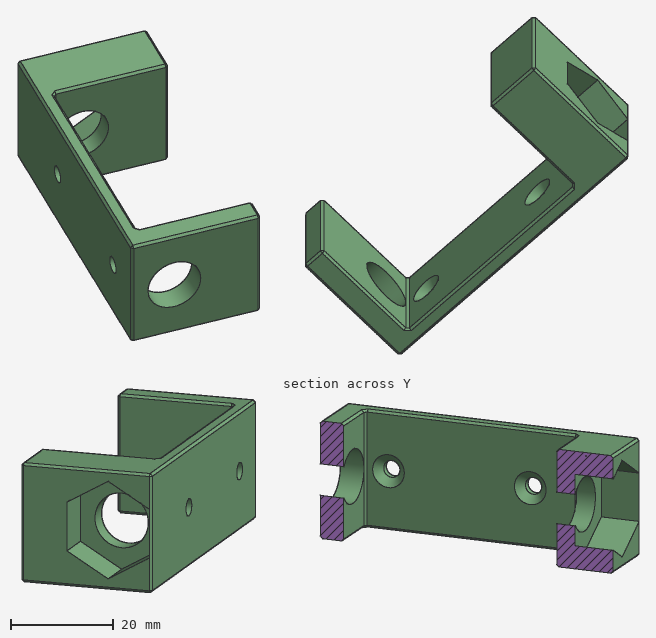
import cadquery as cq
import math

length = 62.0
depth = 27.0
height = 24.0

nut_block_width = 12.0
end_arm_width = 5.0
back_plate_thickness = 3.0

edge_chamfer = 0.5

bolt_diameter = 11.0
bolt_y = 9.0
hexagon_sides = 6
nut_across_flats = 17.0
nut_pocket_depth = 8.0

mount_hole_count = 2
mount_hole_diameter = 3.4
mount_hole_spacing = 30.0
first_mount_hole_x = 22.0
countersink_diameter = 6.7
countersink_angle = 90.0

mid_height = height / 2


def make_body():
    """U-shaped block, open toward +Y, with every edge chamfered."""
    inner_right_x = length - end_arm_width
    outline = [
        (0, 0),
        (length, 0),
        (length, depth),
        (inner_right_x, depth),
        (inner_right_x, back_plate_thickness),
        (nut_block_width, back_plate_thickness),
        (nut_block_width, depth),
        (0, depth),
    ]
    body = cq.Workplane("XY").polyline(outline).close().extrude(height)
    return body.edges().chamfer(edge_chamfer)


def make_bolt_passage():
    """Cylinder that runs along X through the nut block and the end arm."""
    return (
        cq.Workplane("YZ")
        .center(bolt_y, mid_height)
        .circle(bolt_diameter / 2)
        .extrude(length)
    )


def make_nut_pocket():
    """Hexagonal prism with one corner up, sunk from the X = 0 face."""
    corner_radius = nut_across_flats / 2 / math.cos(math.pi / hexagon_sides)
    corners = []
    for index in range(hexagon_sides):
        angle = math.radians(90 + index * 360 / hexagon_sides)
        corners.append((corner_radius * math.cos(angle), corner_radius * math.sin(angle)))
    return (
        cq.Workplane("YZ")
        .center(bolt_y, mid_height)
        .polyline(corners)
        .close()
        .extrude(nut_pocket_depth)
    )


def make_mount_hole(x):
    """Hole along Y through the back plate, countersunk from inside the U."""
    hole_radius = mount_hole_diameter / 2
    head_radius = countersink_diameter / 2
    countersink_depth = (head_radius - hole_radius) / math.tan(math.radians(countersink_angle / 2))
    countersink_start_y = back_plate_thickness - countersink_depth
    half_section = [
        (x, 0),
        (x + hole_radius, 0),
        (x + hole_radius, countersink_start_y),
        (x + head_radius, back_plate_thickness),
        (x, back_plate_thickness),
    ]
    return (
        cq.Workplane("XY")
        .workplane(offset=mid_height)
        .polyline(half_section)
        .close()
        .revolve(360, (x, 0), (x, 1))
    )


result = make_body().cut(make_bolt_passage()).cut(make_nut_pocket())
for hole_index in range(mount_hole_count):
    hole_x = first_mount_hole_x + hole_index * mount_hole_spacing
    result = result.cut(make_mount_hole(hole_x))